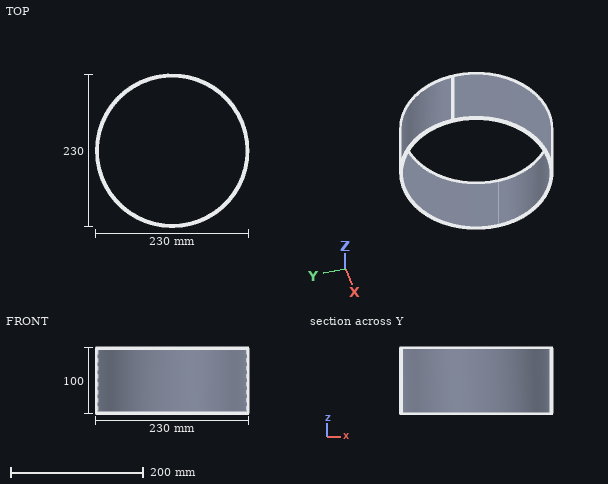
import math

import cadquery as cq

outer_diameter = 230.0
wall_thickness = 2.5
height = 100.0
outer_bevel_height = 1.8
outer_bevel_angle = 20.0
inner_bevel_height = 0.6
inner_bevel_angle = 30.0
slit_width = 2.0

outer_radius = outer_diameter / 2
inner_radius = outer_radius - wall_thickness
half_height = height / 2
outer_bevel_depth = outer_bevel_height * math.tan(math.radians(outer_bevel_angle))
inner_bevel_depth = inner_bevel_height * math.tan(math.radians(inner_bevel_angle))


def make_band():
    """Thin cylindrical band about Z, its inner and outer rims bevelled at both ends."""
    rim_outer_radius = outer_radius - outer_bevel_depth
    rim_inner_radius = inner_radius + inner_bevel_depth
    outer_bevel_start = half_height - outer_bevel_height
    inner_bevel_start = half_height - inner_bevel_height
    wall_section = [
        (rim_inner_radius, -half_height),
        (rim_outer_radius, -half_height),
        (outer_radius, -outer_bevel_start),
        (outer_radius, outer_bevel_start),
        (rim_outer_radius, half_height),
        (rim_inner_radius, half_height),
        (inner_radius, inner_bevel_start),
        (inner_radius, -inner_bevel_start),
    ]
    return cq.Workplane("XZ").polyline(wall_section).close().revolve(360, (0, 0), (0, 1))


def make_slit():
    """Full-height cutter through the -X wall, spanning Y = 0 to Y = slit_width."""
    cutter = cq.Workplane("XY").box(outer_radius, slit_width, height, centered=(True, False, True))
    return cutter.translate((-outer_radius, 0, 0))


result = make_band().cut(make_slit())